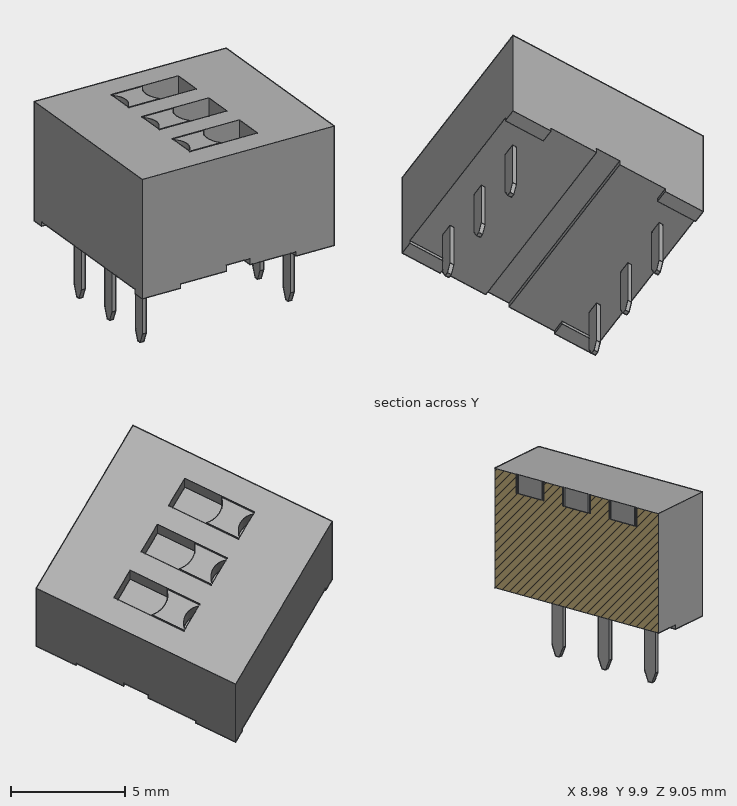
import cadquery as cq


body_width = 8.98
body_length = 9.9
body_height = 5.85

foot_width = 0.62
foot_length = 1.98
foot_height = 0.21
notch_width = 1.21
notch_height = 0.5

way_count = 3
way_pitch = 2.53

slot_width = 1.5
slot_length = 3.465
slot_depth = 0.89

slider_gap = 0.05
slider_length = 1.6
slider_width = slot_width - 2 * slider_gap
back_hollow_depth = 0.27
front_hollow_width = 1.27
front_hollow_depth = 0.3

pin_row_spacing = 7.62
pin_width = 0.6
pin_thickness = 0.2
pin_tip_width = 0.2
pin_tip_length = 0.5
total_height = 9.05
pin_length = total_height - body_height

way_positions = [(way - (way_count - 1) / 2) * way_pitch for way in range(way_count)]
row_positions = [-pin_row_spacing / 2, pin_row_spacing / 2]


def block(size_x, size_y, size_z, base_z):
    """Box centred in X and Y, rising from base_z."""
    base = cq.Workplane("XY").workplane(offset=base_z)
    return base.box(size_x, size_y, size_z, centered=(True, True, False))


def make_housing():
    """Plain block relieved by two crossing channels and a deeper middle notch along X."""
    housing = block(body_width, body_length, body_height, 0)
    channel_along_x = block(body_width, body_length - 2 * foot_length, foot_height, 0)
    channel_along_y = block(body_width - 2 * foot_width, body_length, foot_height, 0)
    notch = block(body_width, notch_width, notch_height, 0)
    return housing.cut(channel_along_x).cut(channel_along_y).cut(notch)


def make_slot(x):
    return block(slot_width, slot_length, slot_depth, body_height - slot_depth).translate((x, 0, 0))


def make_slider(x):
    """Slider with an arched hollow in each end."""
    half_width = slider_width / 2
    half_hollow = front_hollow_width / 2
    front_y = -slot_length / 2
    back_y = front_y + slider_length
    return (
        cq.Workplane("XY")
        .workplane(offset=body_height - slot_depth)
        .moveTo(-half_width, front_y)
        .lineTo(-half_hollow, front_y)
        .threePointArc((0, front_y + front_hollow_depth), (half_hollow, front_y))
        .lineTo(half_width, front_y)
        .lineTo(half_width, back_y)
        .threePointArc((0, back_y - back_hollow_depth), (-half_width, back_y))
        .close()
        .extrude(slot_depth)
        .translate((x, 0, 0))
    )


def make_pin(x, y):
    """Flat pin with a tapered tip, rising to the relieved underside of the housing."""
    half_width = pin_width / 2
    half_tip = pin_tip_width / 2
    taper_z = pin_tip_length - pin_length
    return (
        cq.Workplane("XZ")
        .polyline([
            (-half_tip, -pin_length),
            (half_tip, -pin_length),
            (half_width, taper_z),
            (half_width, foot_height),
            (-half_width, foot_height),
            (-half_width, taper_z),
        ])
        .close()
        .extrude(pin_thickness / 2, both=True)
        .translate((x, y, 0))
    )


result = make_housing()
for way_x in way_positions:
    result = result.cut(make_slot(way_x)).union(make_slider(way_x))
    for row_y in row_positions:
        result = result.union(make_pin(way_x, row_y))